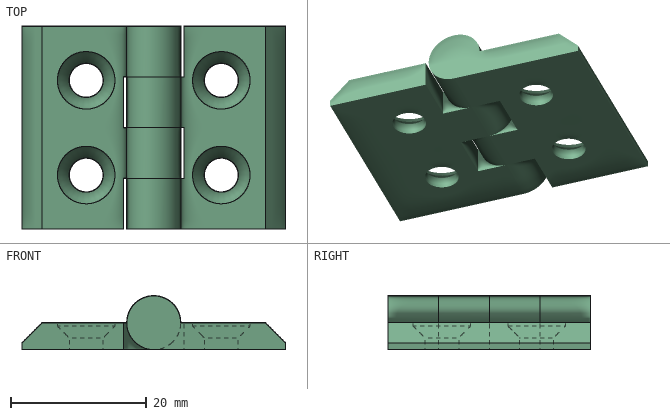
import cadquery as cq

width = 39.0
length = 30.0
height = 8.0

knuckle_radius = height / 2
knuckle_count = 4
knuckle_length = length / knuckle_count

leaf_thickness = knuckle_radius
bevel = 3.0
knuckle_clearance = 0.45
leaf_inner_x = knuckle_radius + knuckle_clearance
leaf_outer_x = width / 2

hole_x = 10.0
hole_spacing = 14.0
hole_diameter = 5.0
sink_diameter = 8.5
sink_recess = 0.5
sink_depth = (sink_diameter - hole_diameter) / 2


def extrude_along_y(profile, start, distance):
    """Extrude an XZ profile toward +Y, starting at the given Y."""
    return profile.extrude(-distance).translate((0, start, 0))


def make_plate():
    """Flat leaf on the +X side with a bevelled outer edge."""
    profile = (
        cq.Workplane("XZ")
        .moveTo(leaf_inner_x, 0)
        .lineTo(leaf_outer_x, 0)
        .lineTo(leaf_outer_x, leaf_thickness - bevel)
        .lineTo(leaf_outer_x - bevel, leaf_thickness)
        .lineTo(leaf_inner_x, leaf_thickness)
        .close()
    )
    return extrude_along_y(profile, -length / 2, length)


def make_knuckle(index):
    """One barrel segment and the web that joins it to the +X leaf."""
    start = -length / 2 + index * knuckle_length
    barrel = cq.Workplane("XZ").center(0, knuckle_radius).circle(knuckle_radius)
    web = cq.Workplane("XZ").rect(leaf_inner_x, leaf_thickness, centered=False)
    return extrude_along_y(barrel, start, knuckle_length).union(
        extrude_along_y(web, start, knuckle_length)
    )


def make_screw_cutter(y):
    """Through hole with a conical seat below a shallow cylindrical recess."""
    seat_top = leaf_thickness - sink_recess
    seat_bottom = seat_top - sink_depth
    return (
        cq.Workplane("XZ")
        .lineTo(hole_diameter / 2, 0)
        .lineTo(hole_diameter / 2, seat_bottom)
        .lineTo(sink_diameter / 2, seat_top)
        .lineTo(sink_diameter / 2, leaf_thickness)
        .lineTo(0, leaf_thickness)
        .close()
        .revolve(360, (0, 0, 0), (0, 1, 0))
        .translate((hole_x, y, 0))
    )


def make_leaf():
    """Hinge leaf on the +X side, with every second knuckle from the -Y end."""
    leaf = make_plate()
    for index in range(0, knuckle_count, 2):
        leaf = leaf.union(make_knuckle(index))
    for y in (-hole_spacing / 2, hole_spacing / 2):
        leaf = leaf.cut(make_screw_cutter(y))
    return leaf


right_leaf = make_leaf()
left_leaf = make_leaf().rotate((0, 0, 0), (0, 0, 1), 180)

result = cq.Compound.makeCompound([right_leaf.val(), left_leaf.val()])